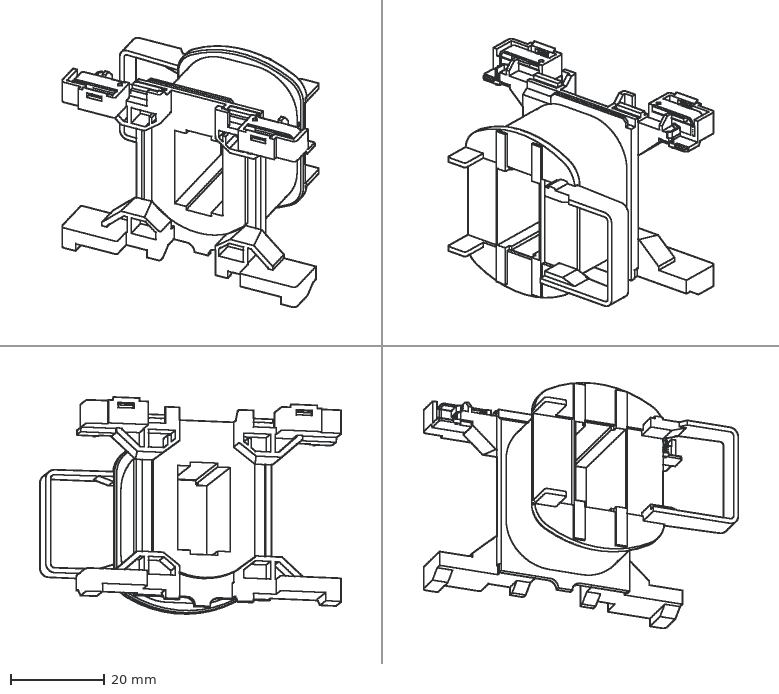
import cadquery as cq


WINDOW_HALF_X = 5.75
WINDOW_HALF_Z = 9.15
NOTCH_HALF_X = 3.0
NOTCH_HALF_Z = 10.0

FRONT_HALF_X = 14.85
REAR_HALF_X = 15.0
FLANGE_HALF_Z = 19.05
STEP_Y = 1.25
FRONT_FLANGE_Y = 2.45
DRUM_END_Y = 19.8
DRUM_HALF_X = 13.7
DRUM_HALF_Z = 17.0
DRUM_RADIUS = 10.0
REAR_WEB_Y = 21.1
REAR_RIM_Y = 21.9
REAR_RIB_Y = 22.5

DISC_RADIUS = 15.0
GROOVE_X = 11.15
RIM_X = 13.6
LEDGE_Z = 17.2
LIP_SLOT_Y = 1.05
LIP_Y = 1.75
LIP_X = (-13.4, 7.2)
LIP_CHAMFER = 0.8
LEDGE_BEVEL_Z = 16.2
NUB_ROOT_X = 3.5
NUB_TIP_X = 1.65
NUB_TIP_Z = -20.95

REAR_SIDE_Z = 10.7
REAR_CORNER_X = 11.75
REAR_CORNER_Z = 16.0
REAR_CORNER_MID = (14.1, 13.85)
REAR_EDGE_CHAMFER = 0.4
RIB_X = (3.6, 6.1)
RIB_HALF_Z = 18.0

HANDLE_END_X = -29.7
HANDLE_HALF_Z = 11.2
HANDLE_WALL = 1.1
HANDLE_OUTER_RADIUS = 2.0
HANDLE_INNER_RADIUS = 0.8
HANDLE_BACK_Y = 27.65
HANDLE_ROOT_X = -10.1
HANDLE_TAPER_X = -18.3
HANDLE_TAPER_Z = 9.0
HANDLE_STEP_Y = 26.1
HANDLE_STEP_X = (-17.9, -16.7)
HANDLE_PAD_X = (-13.0, -11.1)
HANDLE_PAD_HEIGHT = 0.5
HANDLE_PAD_RADIUS = 0.45
TAB_BACK_Y = 28.05
TAB_CORNER = 0.5

ARM_INNER_X = 6.5
ARM_FRONT_Y = -5.45
ARM_BASE_Z = 15.75
ARM_TIP_X = 20.4
ARM_TIP_Z = 14.85
ARM_FLAT_X = (11.2, 15.05)
ARM_FLAT_Z = 10.1
ARM_DRAFT = 0.75
ARM_INNER_Z = 13.65
ARM_BACK_WALL = 1.0
ARM_EDGE_RADIUS = 0.5
POCKET_X = (7.5, 13.4)
POCKET_Z = 11.9
POCKET_CORNER = (10.05, 14.0)
GUSSET_X = (14.4, 15.2, 19.2)
GUSSET_TIP_Z = 15.5
RIBLET_X = (8.45, 9.15)
RIBLET_Z = (12.6, 14.65)

BLOCK_X = (14.6, 28.05)
BLOCK_FRONT_Y = -9.85
BLOCK_FAR_Z = 20.8
BLOCK_EDGE_RADIUS = 0.9
INNER_FOOT_X = 9.65

LOWER_WEB_Z = 19.0
LOWER_FOOT_X = 24.5
LOWER_BEVEL_Y = (-1.4, -4.1)

HOUSING_BACK_Y = -3.85
SHELF_Y = -3.24
SHELF_Z = 18.65
OUTER_SHELF_Z = 17.9
FRONT_TAB_X = 23.4
FRONT_TAB_Y = -10.85
HOUSING_WALL = 1.0
HOUSING_FLOOR_Z = 16.75
CAVITY_LIP_X = (16.6, 22.4)
LIP_TOP_Z = 21.45
WIRE_SLOT_X = (17.8, 21.3)
WIRE_SLOT_Z = (19.2, 20.3)
WIRE_RAMP_X = (17.1, 21.1)
WIRE_RAMP_RISE = 1.5
CLAMP_X = (14.6, 26.45)
CLAMP_Y = (-7.65, -4.1)
CLAMP_THICKNESS = 0.45
CLAMP_BEND = 1.3
CLAMP_HOLE = (16.1, -5.35)
CLAMP_HOLE_DIAMETER = 1.0
END_STOP_X = (20.6, 21.4)
END_STOP_BEVEL = 1.75
SHELF_END_X = 23.2
SPRING_X = 24.1
SPRING_BEND_Y = -2.4
SPRING_ROOT = (22.0, -3.2)
SPRING_TIP = (23.45, 0.95)
SPRING_THICKNESS = 0.35
SPRING_TOP_Z = 18.65
SPRING_TAIL_Y = (-0.4, -0.05)
SPRING_TAIL_Z = 14.65
KEEL_Y = (-4.3, -0.75)
KEEL_Z = 14.8
KEEL_RIM_X = 24.85
KEEL_RIM_Z = 15.3
INNER_WALL_X = 7.65
INNER_RAMP_Y = (-2.0, -3.8)
INNER_HOOK_Y = -4.4
BAR_X = (8.0, 14.65)
BAR_Y = (-2.4, -1.0)
BAR_Z = 19.6


def box(x, y, z):
    """Box spanning the given (low, high) ranges."""
    size = (x[1] - x[0], y[1] - y[0], z[1] - z[0])
    return cq.Workplane("XY").box(*size, centered=False).translate((x[0], y[0], z[0]))


def prism_y(points, y):
    """Closed (x, z) polygon extruded along Y over the range y."""
    plane = cq.Workplane("XZ", origin=(0, y[1], 0))
    return plane.polyline(points).close().extrude(y[1] - y[0])


def prism_x(points, x):
    """Closed (y, z) polygon extruded along X over the range x."""
    return cq.Workplane("YZ", origin=(x[0], 0, 0)).polyline(points).close().extrude(x[1] - x[0])


def plate(half_x, half_z, y):
    return box((-half_x, half_x), y, (-half_z, half_z))


def make_front_flange():
    base_y = (STEP_Y, FRONT_FLANGE_Y)
    raised_y = (0, STEP_Y)
    flange = plate(FRONT_HALF_X, FLANGE_HALF_Z, base_y)

    face = box((-FRONT_HALF_X, FRONT_HALF_X), raised_y, (0, FLANGE_HALF_Z))
    disc = cq.Workplane("XZ", origin=(0, STEP_Y, 0)).circle(DISC_RADIUS).extrude(STEP_Y)
    face = face.union(disc)
    for side in (-1, 1):
        groove_x = sorted((side * GROOVE_X, side * DISC_RADIUS))
        rim_x = sorted((side * RIM_X, side * FRONT_HALF_X))
        face = face.cut(box(groove_x, raised_y, (-DISC_RADIUS, ARM_BASE_Z)))
        face = face.union(box(rim_x, raised_y, (-DRUM_HALF_Z, FLANGE_HALF_Z)))
    flange = flange.union(face)

    ledge_y = (LIP_SLOT_Y, FRONT_FLANGE_Y)
    top_z = (LEDGE_Z, FLANGE_HALF_Z)
    flange = flange.cut(box((-FRONT_HALF_X, FRONT_HALF_X), ledge_y, top_z))
    lip = box(LIP_X, (LIP_Y, FRONT_FLANGE_Y), top_z)
    flange = flange.union(lip.edges("|Y and >Z").chamfer(LIP_CHAMFER))
    bevel = [(LIP_SLOT_Y, LEDGE_Z), (FRONT_FLANGE_Y, LEDGE_Z), (FRONT_FLANGE_Y, LEDGE_BEVEL_Z)]
    flange = flange.cut(prism_x(bevel, (LIP_X[1], FRONT_HALF_X)))
    return flange.union(make_nub())


def make_nub():
    """Locating nub on the bottom edge, with concave flanks."""
    fillet = NUB_ROOT_X - NUB_TIP_X
    diagonal = fillet * (1 - 0.5 ** 0.5)
    mid_x = NUB_TIP_X + diagonal
    mid_z = -FLANGE_HALF_Z - diagonal
    shoulder_z = -FLANGE_HALF_Z - fillet
    plane = cq.Workplane("XZ", origin=(0, FRONT_FLANGE_Y, 0))
    return (
        plane.moveTo(-NUB_ROOT_X, -FLANGE_HALF_Z)
        .threePointArc((-mid_x, mid_z), (-NUB_TIP_X, shoulder_z))
        .lineTo(-NUB_TIP_X, NUB_TIP_Z)
        .lineTo(NUB_TIP_X, NUB_TIP_Z)
        .lineTo(NUB_TIP_X, shoulder_z)
        .threePointArc((mid_x, mid_z), (NUB_ROOT_X, -FLANGE_HALF_Z))
        .close()
        .extrude(FRONT_FLANGE_Y - STEP_Y)
    )


def make_drum():
    return plate(DRUM_HALF_X, DRUM_HALF_Z, (FRONT_FLANGE_Y, DRUM_END_Y)).edges("|Y").fillet(DRUM_RADIUS)


def make_rear_flange():
    mid_x, mid_z = REAR_CORNER_MID
    flange = (
        cq.Workplane("XZ", origin=(0, REAR_RIM_Y, 0))
        .moveTo(REAR_HALF_X, -REAR_SIDE_Z)
        .lineTo(REAR_HALF_X, REAR_SIDE_Z)
        .threePointArc((mid_x, mid_z), (REAR_CORNER_X, REAR_CORNER_Z))
        .threePointArc((0, FLANGE_HALF_Z), (-REAR_CORNER_X, REAR_CORNER_Z))
        .threePointArc((-mid_x, mid_z), (-REAR_HALF_X, REAR_SIDE_Z))
        .lineTo(-REAR_HALF_X, -REAR_SIDE_Z)
        .threePointArc((-mid_x, -mid_z), (-REAR_CORNER_X, -REAR_CORNER_Z))
        .threePointArc((0, -FLANGE_HALF_Z), (REAR_CORNER_X, -REAR_CORNER_Z))
        .threePointArc((mid_x, -mid_z), (REAR_HALF_X, -REAR_SIDE_Z))
        .close()
        .extrude(REAR_RIM_Y - DRUM_END_Y)
    )
    flange = flange.faces("<Y").edges().chamfer(REAR_EDGE_CHAMFER)
    channel_z = HANDLE_HALF_Z - HANDLE_WALL
    flange = flange.cut(plate(REAR_HALF_X, channel_z, (REAR_WEB_Y, REAR_RIM_Y)))
    for side in (-1, 1):
        rib_x = sorted((side * RIB_X[0], side * RIB_X[1]))
        flange = flange.union(box(rib_x, (REAR_WEB_Y, REAR_RIB_Y), (-RIB_HALF_Z, RIB_HALF_Z)))
    return flange


def make_handle():
    y = (REAR_WEB_Y, HANDLE_BACK_Y)
    inner_z = HANDLE_HALF_Z - HANDLE_WALL
    loop = box((HANDLE_END_X, HANDLE_ROOT_X), y, (-HANDLE_HALF_Z, HANDLE_HALF_Z))
    loop = loop.edges("|Y and <X").fillet(HANDLE_OUTER_RADIUS)
    opening = box((HANDLE_END_X + HANDLE_WALL, 0), y, (-inner_z, inner_z))
    loop = loop.cut(opening.edges("|Y and <X").fillet(HANDLE_INNER_RADIUS))

    slant = [(HANDLE_END_X, REAR_WEB_Y), (-REAR_HALF_X, REAR_WEB_Y), (HANDLE_END_X, REAR_RIM_Y)]
    full_height = 2 * HANDLE_HALF_Z
    wedge = cq.Workplane("XY", origin=(0, 0, -HANDLE_HALF_Z)).polyline(slant).close().extrude(full_height)
    loop = loop.cut(wedge)

    step = [
        (HANDLE_STEP_X[0], HANDLE_BACK_Y),
        (HANDLE_STEP_X[1], HANDLE_STEP_Y),
        (HANDLE_ROOT_X, HANDLE_STEP_Y),
        (HANDLE_ROOT_X, HANDLE_BACK_Y),
    ]
    step_cut = cq.Workplane("XY", origin=(0, 0, inner_z)).polyline(step).close().extrude(HANDLE_WALL)
    loop = loop.cut(step_cut)

    taper = prism_y(
        [
            (HANDLE_TAPER_X, inner_z),
            (-REAR_HALF_X, HANDLE_TAPER_Z),
            (HANDLE_ROOT_X, HANDLE_TAPER_Z),
            (HANDLE_ROOT_X, inner_z),
        ],
        (REAR_WEB_Y, HANDLE_STEP_Y),
    )
    pad_z = (HANDLE_HALF_Z, HANDLE_HALF_Z + HANDLE_PAD_HEIGHT)
    pad = box(HANDLE_PAD_X, (REAR_WEB_Y, HANDLE_STEP_Y), pad_z)
    pad = pad.edges("|Y and <X and >Z").fillet(HANDLE_PAD_RADIUS)
    return loop.union(taper).union(taper.mirror("XY")).union(pad)


def make_rear_tabs():
    inner_z = HANDLE_HALF_Z - HANDLE_WALL
    tab = box((-HANDLE_ROOT_X, REAR_HALF_X), (REAR_WEB_Y, TAB_BACK_Y), (inner_z, HANDLE_HALF_Z))
    tab = tab.edges("|Z and >Y").fillet(TAB_CORNER)
    return tab.union(tab.mirror("XY"))


def make_bracket():
    """Upper right bracket: a hollow strut below its terminal block."""
    outline = [
        (ARM_INNER_X, ARM_BASE_Z),
        (ARM_INNER_X, ARM_INNER_Z),
        (ARM_FLAT_X[0], ARM_FLAT_Z),
        (ARM_FLAT_X[1], ARM_FLAT_Z),
        (ARM_TIP_X, ARM_TIP_Z),
        (ARM_TIP_X, ARM_BASE_Z),
    ]
    bracket = prism_y(outline, (ARM_FRONT_Y, 0))
    bracket = bracket.edges("|Z and <X and <Y").fillet(ARM_EDGE_RADIUS)
    draft = [
        (0, ARM_FLAT_Z),
        (ARM_FRONT_Y, ARM_FLAT_Z),
        (ARM_FRONT_Y, ARM_FLAT_Z + ARM_DRAFT),
    ]
    bracket = bracket.cut(prism_x(draft, (ARM_INNER_X, ARM_TIP_X)))
    pocket_y = (ARM_FRONT_Y, -ARM_BACK_WALL)
    pocket = [
        (POCKET_X[0], ARM_BASE_Z),
        (POCKET_X[0], POCKET_CORNER[1]),
        (POCKET_CORNER[0], POCKET_Z),
        (POCKET_X[1], POCKET_Z),
        (POCKET_X[1], ARM_BASE_Z),
    ]
    gusset = [
        (GUSSET_X[0], ARM_BASE_Z),
        (GUSSET_X[0], POCKET_Z),
        (GUSSET_X[1], POCKET_Z),
        (GUSSET_X[2], GUSSET_TIP_Z),
        (GUSSET_X[2], ARM_BASE_Z),
    ]
    return bracket.cut(prism_y(pocket, pocket_y)).cut(prism_y(gusset, pocket_y))


def make_lower_arm():
    inner_x = (ARM_INNER_X, BLOCK_X[0])
    z = (-BLOCK_FAR_Z, -ARM_BASE_Z)
    root = box(inner_x, (ARM_FRONT_Y, STEP_Y), z).edges("|Z and <X and <Y").fillet(ARM_EDGE_RADIUS)
    pad = box(BLOCK_X, (BLOCK_FRONT_Y, 0), z)
    pad = pad.edges("|Z and <Y and >X").fillet(BLOCK_EDGE_RADIUS)
    pad = pad.edges("|Z and <Y and <X").fillet(ARM_EDGE_RADIUS)
    arm = root.union(pad)

    relief = box((INNER_FOOT_X, LOWER_FOOT_X), (BLOCK_FRONT_Y, STEP_Y), (-BLOCK_FAR_Z, -LOWER_WEB_Z))
    bevel = [
        (STEP_Y, -BLOCK_FAR_Z),
        (STEP_Y, -LOWER_WEB_Z),
        (LOWER_BEVEL_Y[0], -LOWER_WEB_Z),
        (LOWER_BEVEL_Y[1], -BLOCK_FAR_Z),
    ]
    arm = arm.cut(relief).cut(prism_x(bevel, (ARM_INNER_X, BLOCK_X[1])))
    return arm.union(make_bracket().mirror("XY"))


def make_housing():
    """Upper terminal housing: an open tray with a front tab, a wire slot and a clamp plate."""
    z = (ARM_BASE_Z, BLOCK_FAR_Z)
    cavity_z = (HOUSING_FLOOR_Z, BLOCK_FAR_Z)
    housing = box(BLOCK_X, (BLOCK_FRONT_Y, HOUSING_BACK_Y), z)
    housing = housing.edges("|Z and >X and <Y").fillet(BLOCK_EDGE_RADIUS)
    tab = box((BLOCK_X[0], FRONT_TAB_X), (FRONT_TAB_Y, BLOCK_FRONT_Y), z)
    housing = housing.union(tab.edges("|Z and <X and <Y").fillet(ARM_EDGE_RADIUS))

    cavity_x = (BLOCK_X[0] + HOUSING_WALL, BLOCK_X[1] - HOUSING_WALL)
    cavity = box(cavity_x, (BLOCK_FRONT_Y + HOUSING_WALL, HOUSING_BACK_Y), cavity_z)
    front_y = FRONT_TAB_Y + HOUSING_WALL
    bay = box((cavity_x[0], CAVITY_LIP_X[1]), (front_y, HOUSING_BACK_Y), cavity_z)
    slot = box(WIRE_SLOT_X, (FRONT_TAB_Y, front_y), WIRE_SLOT_Z)
    housing = housing.cut(cavity).cut(bay).cut(slot)

    back_wall = box(cavity_x, (CLAMP_Y[1], HOUSING_BACK_Y), (HOUSING_FLOOR_Z, WIRE_SLOT_Z[0]))
    ramp = [
        (BLOCK_FRONT_Y + HOUSING_WALL, HOUSING_FLOOR_Z),
        (BLOCK_FRONT_Y + HOUSING_WALL, WIRE_SLOT_Z[0]),
        (CLAMP_Y[0], WIRE_SLOT_Z[0] - WIRE_RAMP_RISE),
        (CLAMP_Y[0], HOUSING_FLOOR_Z),
    ]
    housing = housing.union(back_wall).union(prism_x(ramp, WIRE_RAMP_X))

    lip = [(FRONT_TAB_Y, BLOCK_FAR_Z), (FRONT_TAB_Y, LIP_TOP_Z), (BLOCK_FRONT_Y, BLOCK_FAR_Z)]
    return housing.union(prism_x(lip, CAVITY_LIP_X)).union(make_clamp())


def make_clamp():
    clamp = box(CLAMP_X, CLAMP_Y, (HOUSING_FLOOR_Z, BLOCK_FAR_Z))
    clamp = clamp.edges("|Y and >X and >Z").fillet(CLAMP_BEND)
    under_x = (CLAMP_X[0] + HOUSING_WALL, CLAMP_X[1] - CLAMP_THICKNESS)
    under = box(under_x, CLAMP_Y, (HOUSING_FLOOR_Z, BLOCK_FAR_Z - CLAMP_THICKNESS))
    under = under.edges("|Y and >X and >Z").fillet(CLAMP_BEND - CLAMP_THICKNESS)
    plane = cq.Workplane("XY", origin=(*CLAMP_HOLE, BLOCK_FAR_Z - CLAMP_THICKNESS))
    hole = plane.circle(CLAMP_HOLE_DIAMETER / 2).extrude(CLAMP_THICKNESS)
    return clamp.cut(under).cut(hole)


def make_shelf():
    """Shelf behind the housing, carrying the contact bar, the end stop and the spring."""
    shelf_x = (ARM_INNER_X, SHELF_END_X)
    shelf = box((ARM_INNER_X, BAR_X[1]), (SHELF_Y, 0), (ARM_BASE_Z, SHELF_Z))
    outer_shelf = box(shelf_x, (SHELF_Y, 0), (ARM_BASE_Z, OUTER_SHELF_Z))
    floor = box(shelf_x, (HOUSING_BACK_Y, 0), (ARM_BASE_Z, LEDGE_Z))
    root = box((ARM_INNER_X, BLOCK_X[0]), (ARM_FRONT_Y, 0), (ARM_BASE_Z, LEDGE_Z))
    root = root.edges("|Z and <X and <Y").fillet(ARM_EDGE_RADIUS)
    bar = box(BAR_X, BAR_Y, (SHELF_Z, BAR_Z))
    stop = [
        (0, OUTER_SHELF_Z),
        (0, BLOCK_FAR_Z - END_STOP_BEVEL),
        (-END_STOP_BEVEL, BLOCK_FAR_Z),
        (SHELF_Y, BLOCK_FAR_Z),
        (SHELF_Y, OUTER_SHELF_Z),
    ]
    shelf = shelf.union(outer_shelf).union(floor).union(root).union(bar).union(prism_x(stop, END_STOP_X))
    return shelf.union(make_keel()).union(make_spring())


def make_keel():
    """Floor below the outer end of the shelf, with a slanted front and a lower rim at the back."""
    profile = [
        (KEEL_Y[1], ARM_BASE_Z),
        (KEEL_Y[1], KEEL_Z),
        (KEEL_Y[0], KEEL_Z),
        (KEEL_Y[0] - (ARM_BASE_Z - KEEL_Z) / 2, ARM_BASE_Z),
    ]
    rim = box((KEEL_RIM_X, BLOCK_X[1]), (KEEL_Y[1], 0), (KEEL_Z, KEEL_RIM_Z))
    rim = rim.edges("|Z and >X and >Y").chamfer(TAB_CORNER)
    inner = box((SHELF_END_X, KEEL_RIM_X), (KEEL_Y[1], 0), (KEEL_Z, ARM_BASE_Z))
    return prism_x(profile, (ARM_TIP_X, BLOCK_X[1])).union(rim).union(inner)


def make_spring():
    """Bent leaf spring leaning out past the back of the shelf, with a tail through the keel."""
    half = SPRING_THICKNESS / 2
    root_x, root_y = SPRING_ROOT
    tip_x, tip_y = SPRING_TIP
    outline = [
        (root_x, root_y + half),
        (SPRING_X - half, SPRING_BEND_Y),
        (SPRING_X - half, 0),
        (tip_x - half, tip_y - half),
        (tip_x + half, tip_y),
        (SPRING_X + half, half),
        (SPRING_X + half, SPRING_BEND_Y - half),
        (root_x, root_y - half),
    ]
    height = SPRING_TOP_Z - LEDGE_Z
    leaf = cq.Workplane("XY", origin=(0, 0, LEDGE_Z)).polyline(outline).close().extrude(height)
    tail = box((SPRING_X - half, SPRING_X + half), SPRING_TAIL_Y, (SPRING_TAIL_Z, SPRING_TOP_Z))
    return leaf.union(tail)


def make_inner_wall():
    """Hooked wall on the inner side of the upper arm, ramping up towards the front."""
    profile = [
        (0, ARM_BASE_Z),
        (0, FLANGE_HALF_Z),
        (INNER_RAMP_Y[0], FLANGE_HALF_Z),
        (INNER_RAMP_Y[1], BLOCK_FAR_Z),
        (ARM_FRONT_Y, BLOCK_FAR_Z),
        (ARM_FRONT_Y, ARM_BASE_Z),
    ]
    wall = prism_x(profile, (ARM_INNER_X, INNER_WALL_X))
    hook_z = (ARM_BASE_Z, BLOCK_FAR_Z)
    hook = box((ARM_INNER_X, INNER_FOOT_X), (ARM_FRONT_Y, INNER_HOOK_Y), hook_z)
    return wall.union(hook).edges("|Z and <X and <Y").fillet(ARM_EDGE_RADIUS)


def make_upper_arm():
    riblet = box(RIBLET_X, (ARM_FRONT_Y, 0), RIBLET_Z)
    arm = make_bracket().union(riblet)
    return arm.union(make_shelf()).union(make_inner_wall()).union(make_housing())


def make_window():
    y = (0, REAR_RIB_Y)
    return plate(WINDOW_HALF_X, WINDOW_HALF_Z, y).union(plate(NOTCH_HALF_X, NOTCH_HALF_Z, y))


result = make_front_flange().union(make_drum()).union(make_rear_flange())
result = result.union(make_handle()).union(make_rear_tabs())
for arm in (make_upper_arm(), make_lower_arm()):
    result = result.union(arm).union(arm.mirror("YZ"))
result = result.cut(make_window())